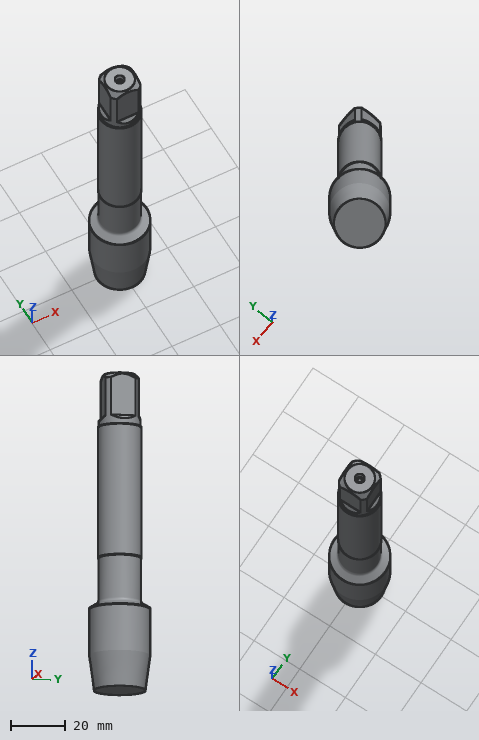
import cadquery as cq
import math

total_length = 117.5

head_radius = 22.5 / 2
tip_radius = 18.9 / 2
lead_length = 12.9
head_top = 30.1

collar_height = 0.4
cone_angle = 30.0
cone_fillet = 1.4
neck_radius = 15.7 / 2
body_radius = 16.0 / 2
body_bottom = 49.5
body_bottom_chamfer = 0.4
body_top = 97.9
body_top_chamfer = 0.4

drive_radius = 15.4 / 2
drive_across_flats = 12.5
drive_end_radius = 11.2 / 2
drive_end_chamfer = 2.0
flat_bottom = 101.5
flat_runout_angle = 45.0

centre_radius = 2.0 / 2
countersink_radius = 3.5 / 2
centre_depth = 2.6
countersink_half_angle = 30.0
drill_tip_half_angle = 59.0


def revolve_profile(points):
    """Revolve a closed (radius, height) outline about the Z axis."""
    return cq.Workplane("XZ").polyline(points).close().revolve(360, (0, 0), (0, 1))


def make_head():
    return revolve_profile([
        (0, 0),
        (tip_radius, 0),
        (head_radius, lead_length),
        (head_radius, head_top),
        (0, head_top),
    ])


def make_shank_blank():
    """Round shank, with a rounded corner where the cone runs into the neck."""
    cone_bottom = head_top + collar_height
    slope = math.radians(cone_angle)
    corner_z = cone_bottom + (head_radius - neck_radius) * math.tan(slope)
    turn = math.pi / 2 - slope
    tangent_length = cone_fillet * math.tan(turn / 2)
    arc_centre = (neck_radius + cone_fillet, corner_z + tangent_length)

    def arc_point(angle):
        """Point on the fillet arc, angle measured down from its neck end."""
        return (arc_centre[0] - cone_fillet * math.cos(angle), arc_centre[1] - cone_fillet * math.sin(angle))

    profile = (
        cq.Workplane("XZ")
        .moveTo(0, head_top)
        .lineTo(head_radius, head_top)
        .lineTo(head_radius, cone_bottom)
        .lineTo(*arc_point(turn))
        .threePointArc(arc_point(turn / 2), arc_point(0))
        .lineTo(neck_radius, body_bottom - body_bottom_chamfer)
        .lineTo(body_radius, body_bottom)
        .lineTo(body_radius, body_top)
        .lineTo(drive_radius, body_top + body_top_chamfer)
        .lineTo(drive_radius, total_length - drive_end_chamfer)
        .lineTo(drive_end_radius, total_length)
        .lineTo(0, total_length)
        .close()
    )
    return profile.revolve(360, (0, 0), (0, 1))


def make_flat_cutter():
    """Material removed for the flat on the +X side, with its sloped lower end."""
    half_flats = drive_across_flats / 2
    outer = 2 * drive_radius
    runout_drop = (outer - half_flats) * math.tan(math.radians(flat_runout_angle))
    return (
        cq.Workplane("XZ")
        .polyline([
            (half_flats, flat_bottom),
            (outer, flat_bottom - runout_drop),
            (outer, total_length),
            (half_flats, total_length),
        ])
        .close()
        .extrude(drive_radius, both=True)
    )


def make_centre_hole():
    countersink_depth = (countersink_radius - centre_radius) / math.tan(math.radians(countersink_half_angle))
    tip_depth = centre_radius / math.tan(math.radians(drill_tip_half_angle))
    return revolve_profile([
        (0, total_length),
        (countersink_radius, total_length),
        (centre_radius, total_length - countersink_depth),
        (centre_radius, total_length - centre_depth),
        (0, total_length - centre_depth - tip_depth),
    ])


def make_shank():
    shank = make_shank_blank().cut(make_centre_hole())
    flat_cutter = make_flat_cutter()
    flat_count = 4
    for index in range(flat_count):
        shank = shank.cut(flat_cutter.rotate((0, 0, 0), (0, 0, 1), index * 360 / flat_count))
    return shank


head = make_head()
shank = make_shank()

result = cq.Compound.makeCompound([head.val(), shank.val()])